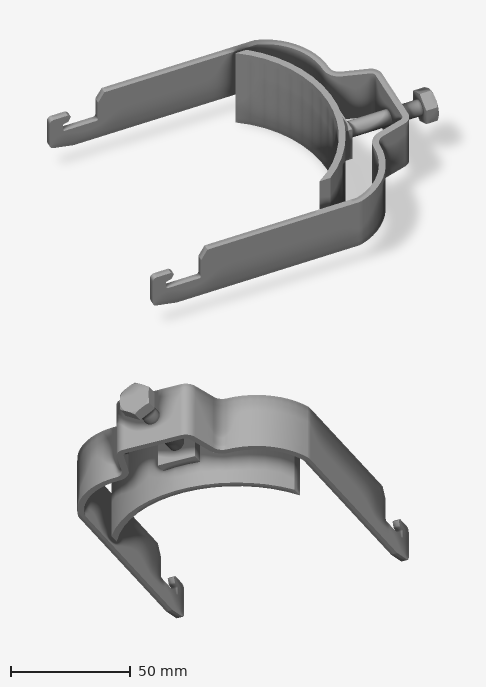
import cadquery as cq
import math

TOTAL_LENGTH = 152.0

STRAP_WIDTH = 107.0
STRAP_HEIGHT = 25.0
STRAP_THICKNESS = 2.9
BRIDGE_Y = 135.0
BRIDGE_HALF_WIDTH = 17.0
BRIDGE_FOOT_HALF_WIDTH = 22.3
SHOULDER_RADIUS = 29.3
SHOULDER_CENTER_X = 25.2
SHOULDER_CENTER_Y = 87.1
BRIDGE_BEND_RADIUS = 5.0
FOOT_BEND_RADIUS = 4.5
LEG_BEND_RADIUS = 6.1

SLOT_WALL_Y = 22.0
SLOT_FLOOR_Z = -2.6
LEAD_IN_LENGTH = 2.9
LEAD_IN_HEIGHT = 4.9
HOOK_TOP_Z = 5.6
HOOK_NECK = 6.0
BARB_UNDERSIDE = (8.5, 2.0)
BARB_NOSE = (9.5, 4.4)
BARB_TOP_Y = 8.2
NECK_CORNER_Z = 1.4
TIP_BOTTOM_Z = -10.2
TAPER_LENGTH = 11.0
HOOK_SMALL_RADIUS = 0.9
HOOK_TIP_RADIUS = 1.8

SADDLE_WIDTH = 84.8
SADDLE_HEIGHT = 40.0
SADDLE_THICKNESS = 2.9
SADDLE_RADIUS = 53.4
SADDLE_TOP_Y = 107.2
PAD_SIDE = 17.0
PAD_TOP_Y = 111.5

SHANK_DIAMETER = 7.1
HEAD_ACROSS_FLATS = 13.4
HEAD_HEIGHT = 5.8
HEAD_CHAMFER_ANGLE = 30.0


def shoulder_point(x):
    """Point of the left shoulder arc at the given x."""
    rise = math.sqrt(SHOULDER_RADIUS**2 - (x + SHOULDER_CENTER_X) ** 2)
    return x, SHOULDER_CENTER_Y + rise


def mirrored(point):
    return -point[0], point[1]


def strap_band():
    """Bent strip of constant thickness, before the leg ends are cut to shape."""
    leg_top = shoulder_point(-STRAP_WIDTH / 2)
    foot = shoulder_point(-BRIDGE_FOOT_HALF_WIDTH)
    middle = shoulder_point((leg_top[0] + foot[0]) / 2)
    bridge_corner = (-BRIDGE_HALF_WIDTH, BRIDGE_Y)
    base_corner = (-STRAP_WIDTH / 2, -STRAP_THICKNESS)
    envelope = (
        cq.Workplane("XY", origin=(0, 0, -STRAP_HEIGHT / 2))
        .moveTo(*base_corner)
        .lineTo(*leg_top)
        .threePointArc(middle, foot)
        .lineTo(*bridge_corner)
        .lineTo(*mirrored(bridge_corner))
        .lineTo(*mirrored(foot))
        .threePointArc(mirrored(middle), mirrored(leg_top))
        .lineTo(*mirrored(base_corner))
        .close()
        .extrude(STRAP_HEIGHT)
    )
    bends = (
        (bridge_corner, BRIDGE_BEND_RADIUS),
        (foot, FOOT_BEND_RADIUS),
        (leg_top, LEG_BEND_RADIUS),
    )
    for corner, radius in bends:
        for x, y in (corner, mirrored(corner)):
            bend_edge = cq.selectors.NearestToPointSelector((x, y, 0))
            envelope = envelope.edges("|Z").edges(bend_edge).fillet(radius)
    inside = (
        envelope.faces("<Z").wires().toPending()
        .offset2D(-STRAP_THICKNESS)
        .extrude(STRAP_HEIGHT, combine=False)
    )
    return envelope.cut(inside)


def strap_side_profile():
    """Prism along X whose YZ outline shapes the leg ends into hooks."""
    half_height = STRAP_HEIGHT / 2
    slot_corner = (SLOT_WALL_Y, SLOT_FLOOR_Z)
    neck_foot = (HOOK_NECK, SLOT_FLOOR_Z)
    neck_corner = (HOOK_NECK, NECK_CORNER_Z)
    tip_top = (0, HOOK_TOP_Z)
    tip_bottom = (0, TIP_BOTTOM_Z)
    outline = [
        (TOTAL_LENGTH, half_height),
        (SLOT_WALL_Y + LEAD_IN_LENGTH, half_height),
        (SLOT_WALL_Y, half_height - LEAD_IN_HEIGHT),
        slot_corner,
        neck_foot,
        neck_corner,
        BARB_UNDERSIDE,
        BARB_NOSE,
        (BARB_TOP_Y, HOOK_TOP_Z),
        tip_top,
        tip_bottom,
        (TAPER_LENGTH, -half_height),
        (TOTAL_LENGTH, -half_height),
    ]
    prism = cq.Workplane("YZ").polyline(outline).close().extrude(STRAP_WIDTH / 2, both=True)
    rounded = [
        (slot_corner, HOOK_SMALL_RADIUS),
        (neck_foot, HOOK_SMALL_RADIUS),
        (neck_corner, HOOK_SMALL_RADIUS),
        (BARB_UNDERSIDE, HOOK_SMALL_RADIUS),
        (tip_bottom, HOOK_TIP_RADIUS),
        (tip_top, HOOK_TIP_RADIUS),
    ]
    for (y, z), radius in rounded:
        corner_edge = cq.selectors.NearestToPointSelector((0, y, z))
        prism = prism.edges("|X").edges(corner_edge).fillet(radius)
    return prism


def along_bolt(start_y):
    """Workplane facing +Y, centred on the bolt axis."""
    return cq.Workplane("XZ", origin=(0, start_y, 0)).transformed(rotate=(180, 0, 0))


def make_strap():
    bolt_hole = along_bolt(PAD_TOP_Y).circle(SHANK_DIAMETER / 2).extrude(TOTAL_LENGTH - PAD_TOP_Y)
    return strap_band().intersect(strap_side_profile()).cut(bolt_hole)


def make_saddle():
    """Curved plate trimmed to its width, with a square pad carrying the bolt end."""
    center_y = SADDLE_TOP_Y - SADDLE_RADIUS
    base = cq.Workplane("XY", origin=(0, center_y, -SADDLE_HEIGHT / 2))
    outer = base.circle(SADDLE_RADIUS).extrude(SADDLE_HEIGHT)
    bore = base.circle(SADDLE_RADIUS - SADDLE_THICKNESS).extrude(SADDLE_HEIGHT)
    trim = (
        cq.Workplane("XY", origin=(0, center_y, 0))
        .box(SADDLE_WIDTH, SADDLE_RADIUS, SADDLE_HEIGHT, centered=(True, False, True))
    )
    pad = (
        cq.Workplane("XY", origin=(0, center_y, 0))
        .box(PAD_SIDE, PAD_TOP_Y - center_y, PAD_SIDE, centered=(True, False, True))
    )
    return outer.intersect(trim).union(pad).cut(bore)


def make_bolt():
    """Hexagon bolt with corners up and down and the head's outer end chamfered."""
    head_base_y = TOTAL_LENGTH - HEAD_HEIGHT
    corner_radius = HEAD_ACROSS_FLATS / 2 / math.cos(math.pi / 6)
    head = (
        along_bolt(head_base_y)
        .transformed(rotate=(0, 0, 90))
        .polygon(6, 2 * corner_radius)
        .extrude(HEAD_HEIGHT)
    )
    chamfer_radial = corner_radius - HEAD_ACROSS_FLATS / 2
    chamfer_axial = chamfer_radial * math.tan(math.radians(HEAD_CHAMFER_ANGLE))
    chamfer_cone = (
        cq.Workplane("XY")
        .moveTo(0, head_base_y)
        .lineTo(corner_radius, head_base_y)
        .lineTo(corner_radius, TOTAL_LENGTH - chamfer_axial)
        .lineTo(corner_radius - chamfer_radial, TOTAL_LENGTH)
        .lineTo(0, TOTAL_LENGTH)
        .close()
        .revolve(360, (0, 0, 0), (0, 1, 0))
    )
    shank = along_bolt(PAD_TOP_Y).circle(SHANK_DIAMETER / 2).extrude(head_base_y - PAD_TOP_Y)
    return head.intersect(chamfer_cone).union(shank)


strap = make_strap()
saddle = make_saddle()
bolt = make_bolt()

result = cq.Compound.makeCompound([strap.val(), saddle.val(), bolt.val()])